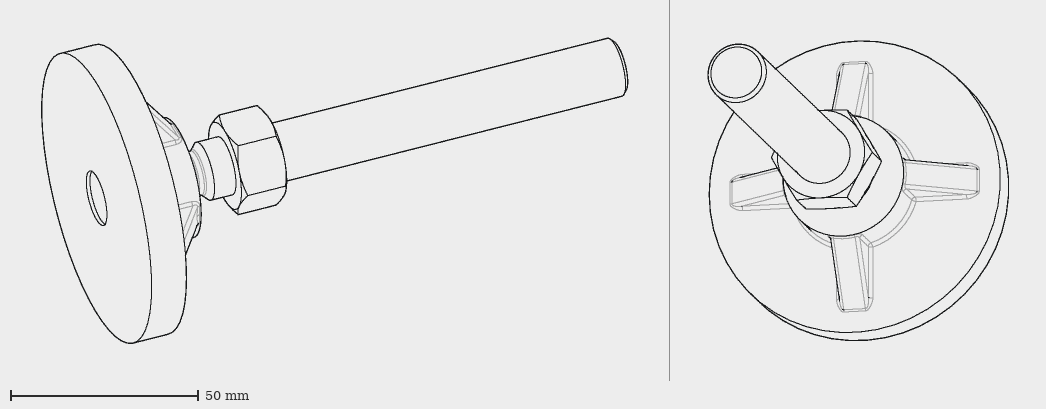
import cadquery as cq
import math


foot_diameter = 80.0
disc_thickness = 10.0
hub_diameter = 33.2
hub_top = 23.5
recess_diameter = 15.0
recess_depth = 1.0
rib_count = 4
rib_width = 8.0
rib_toe_radius = 33.9
rib_top = 22.5
foot_fillet = 1.0

overall_length = 150.0
rod_diameter = 16.0
rod_end_chamfer = 1.0
ball_radius = 8.2
ball_center = 21.5
neck_radius = 6.2
neck_fillet = 0.8
shoulder_end = 30.8
hex_across_flats = 24.0
hex_start = 36.9
hex_end = 50.0
hex_chamfer_angle = 30.0

rod_radius = rod_diameter / 2
hub_radius = hub_diameter / 2


def cylinder(radius, start, end):
    """Cylinder about the Y axis from start to end."""
    return cq.Workplane("XZ", origin=(0, start, 0)).circle(radius).extrude(start - end)


def revolve_about_y(profile):
    return profile.close().revolve(360, (0, 0), (0, 1))


def make_ball():
    return cq.Workplane("XY").sphere(ball_radius).translate((0, ball_center, 0))


def make_rib(angle):
    """Rib sloping from the hub down to the disc, turned about Y by angle."""
    slope = (rib_top - disc_thickness) / (rib_toe_radius - hub_radius)
    root_radius = hub_radius - (hub_top - rib_top) / slope
    rib = (
        cq.Workplane("XY")
        .moveTo(0, disc_thickness)
        .lineTo(rib_toe_radius, disc_thickness)
        .lineTo(root_radius, hub_top)
        .lineTo(0, hub_top)
        .close()
        .extrude(rib_width / 2, both=True)
    )
    return rib.rotate((0, 0, 0), (0, 1, 0), angle)


def make_foot():
    hub = cylinder(hub_radius, disc_thickness, hub_top)
    for index in range(rib_count):
        hub = hub.union(make_rib(index * 360 / rib_count))
    foot = cylinder(foot_diameter / 2, 0, disc_thickness).union(hub)

    reach = rib_toe_radius + foot_fillet
    hub_and_ribs = cq.selectors.BoxSelector(
        (-reach, disc_thickness / 2, -reach),
        (reach, hub_top - foot_fillet / 4, reach),
    )
    disc_rim = cq.selectors.RadiusNthSelector(-1)
    foot = foot.edges(hub_and_ribs - disc_rim).fillet(foot_fillet)

    recess = cylinder(recess_diameter / 2, 0, recess_depth)
    return foot.cut(recess).cut(make_ball())


def make_hexagon():
    """Hexagon with corners on the X axis, its corners chamfered down to the flats at both ends."""
    flat_radius = hex_across_flats / 2
    corner_radius = flat_radius / math.cos(math.pi / 6)
    chamfer_height = (corner_radius - flat_radius) * math.tan(math.radians(hex_chamfer_angle))
    prism = (
        cq.Workplane("XZ", origin=(0, hex_start, 0))
        .polygon(6, 2 * corner_radius)
        .extrude(hex_start - hex_end)
    )
    envelope = revolve_about_y(
        cq.Workplane("XY")
        .moveTo(0, hex_start)
        .lineTo(flat_radius, hex_start)
        .lineTo(corner_radius, hex_start + chamfer_height)
        .lineTo(corner_radius, hex_end - chamfer_height)
        .lineTo(flat_radius, hex_end)
        .lineTo(0, hex_end)
    )
    return prism.intersect(envelope)


def make_spindle():
    shoulder_start = shoulder_end - (rod_radius - neck_radius)
    ball_top = ball_center + math.sqrt(ball_radius**2 - neck_radius**2)
    shaft = revolve_about_y(
        cq.Workplane("XY")
        .moveTo(0, ball_center - ball_radius)
        .threePointArc((ball_radius, ball_center), (neck_radius, ball_top))
        .lineTo(neck_radius, shoulder_start)
        .lineTo(rod_radius, shoulder_end)
        .lineTo(rod_radius, overall_length - rod_end_chamfer)
        .lineTo(rod_radius - rod_end_chamfer, overall_length)
        .lineTo(0, overall_length)
    )
    neck_ends = cq.selectors.BoxSelector(
        (-rod_radius, ball_top - neck_fillet, -rod_radius),
        (rod_radius, shoulder_start + neck_fillet, rod_radius),
    )
    return shaft.edges("%CIRCLE").edges(neck_ends).fillet(neck_fillet).union(make_hexagon())


foot = make_foot()
spindle = make_spindle()
result = cq.Compound.makeCompound([foot.val(), spindle.val()])